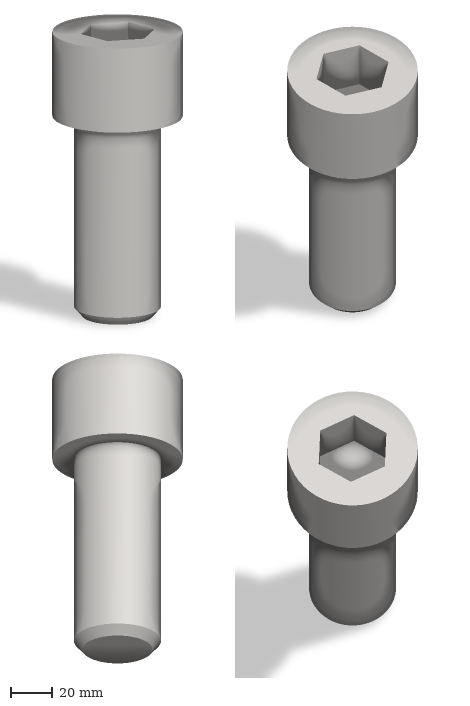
import cadquery as cq
import math

total_length = 142.0
head_diameter = 63.0
shank_diameter = 42.0
head_height = shank_diameter
shank_length = total_length - head_height

tip_chamfer_height = 4.5
tip_chamfer_width = 4.1

socket_across_flats = 32.0
socket_across_corners = socket_across_flats / math.cos(math.pi / 6)
socket_depth = 25.3


def make_shank():
    """Plain cylinder with a conical chamfer at the tip."""
    radius = shank_diameter / 2
    return (
        cq.Workplane("XZ")
        .moveTo(0, 0)
        .lineTo(radius - tip_chamfer_width, 0)
        .lineTo(radius, tip_chamfer_height)
        .lineTo(radius, shank_length)
        .lineTo(0, shank_length)
        .close()
        .revolve(360, (0, 0, 0), (0, 1, 0))
    )


def make_head():
    """Cylindrical head on top of the shank."""
    return (
        cq.Workplane("XY")
        .workplane(offset=shank_length)
        .circle(head_diameter / 2)
        .extrude(head_height)
    )


def make_socket():
    """Hexagonal drive recess with two corners on the X axis."""
    return (
        cq.Workplane("XY")
        .workplane(offset=total_length)
        .polygon(6, socket_across_corners)
        .extrude(-socket_depth)
    )


result = make_shank().union(make_head()).cut(make_socket())